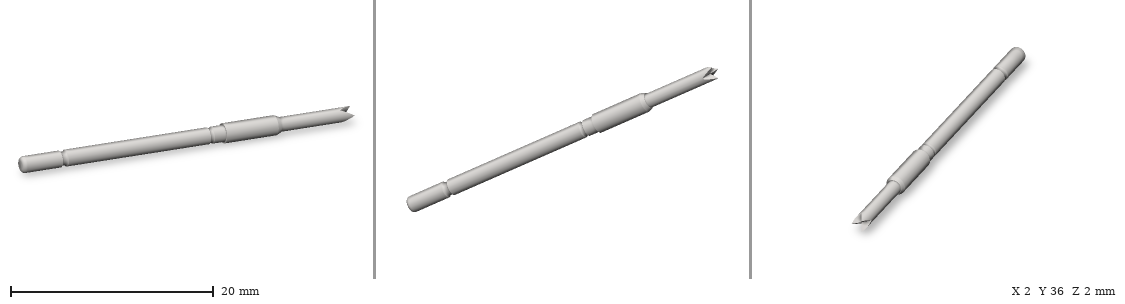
import cadquery as cq
import math

length = 36.0
plunger_radius = 0.738
collar_radius = 1.0
barrel_radius = 0.845

collar_front = 28.05
collar_rear = 22.0
shoulder_length = 0.45
shoulder_height = 0.18

rear_round = 0.4

front_groove_position = 20.55
front_groove_width = 0.45
front_groove_depth = 0.1
rear_groove_position = 4.57
rear_groove_width = 0.65
rear_groove_depth = 0.162

crown_points = 3
valley_depth = 1.45


def make_body():
    """Revolve the half outline of the stepped pin, arcs forming the grooves."""
    outline = (
        cq.Workplane("XY")
        .lineTo(barrel_radius - rear_round, 0)
        .radiusArc((barrel_radius, rear_round), -rear_round)
    )
    for position, width, depth in (
        (rear_groove_position, rear_groove_width, rear_groove_depth),
        (front_groove_position, front_groove_width, front_groove_depth),
    ):
        outline = outline.lineTo(barrel_radius, position - width / 2).threePointArc(
            (barrel_radius - depth, position), (barrel_radius, position + width / 2)
        )
    return (
        outline.lineTo(barrel_radius, collar_rear)
        .lineTo(collar_radius, collar_rear)
        .lineTo(collar_radius, collar_front - shoulder_length)
        .lineTo(collar_radius - shoulder_height, collar_front)
        .lineTo(plunger_radius, collar_front)
        .lineTo(plunger_radius, length)
        .lineTo(0, length)
        .close()
        .revolve(360, (0, 0, 0), (0, 1, 0))
    )


def make_valley_cutter():
    """V trough along X whose floor falls from the -X tip to the +X valley."""
    reach = 2 * plunger_radius
    floor_slope = valley_depth / (2 * plunger_radius)
    half_pitch = math.pi / crown_points
    tip_along = plunger_radius * math.cos(half_pitch)
    tip_across = plunger_radius * math.sin(half_pitch)
    side_slope = floor_slope * (plunger_radius + tip_along) / tip_across
    height = 4 * valley_depth
    half_width = height / side_slope

    def section(x):
        floor = length - floor_slope * (x + plunger_radius)
        return cq.Wire.makePolygon(
            [
                cq.Vector(x, floor, 0),
                cq.Vector(x, floor + height, half_width),
                cq.Vector(x, floor + height, -half_width),
            ],
            close=True,
        )

    return cq.Workplane(cq.Solid.makeLoft([section(-reach), section(reach)], True))


result = make_body()

valley_cutter = make_valley_cutter()
pitch_angle = 360 / crown_points
for index in range(crown_points):
    angle = (index + 0.5) * pitch_angle
    result = result.cut(valley_cutter.rotate((0, 0, 0), (0, 1, 0), angle))